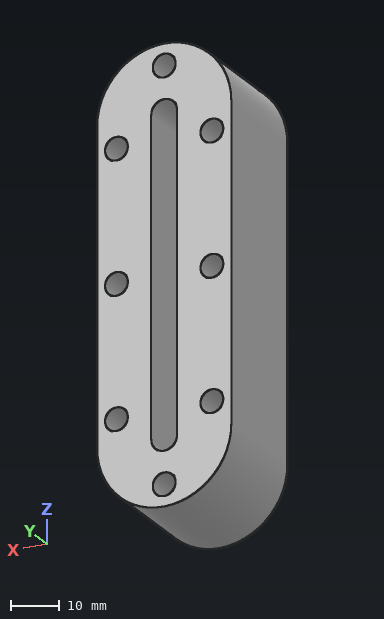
import cadquery as cq

width = 31.0
depth = 25.6
height = 103.0

slot_width = 6.0
slot_length = 78.2

hole_diameter = 5.3
side_hole_x = 11.0
side_hole_pitch = 30.1
end_hole_z = 46.6

side_holes = [
    (side * side_hole_x, row * side_hole_pitch)
    for side in (-1, 1)
    for row in (-1, 0, 1)
]
end_holes = [(0, -end_hole_z), (0, end_hole_z)]


def upright_slot(slot_height, slot_width):
    """Round-ended prism along Z, centred on the origin and spanning the depth in Y."""
    return (
        cq.Workplane("XZ")
        .slot2D(slot_height, slot_width, angle=90)
        .extrude(depth / 2, both=True)
    )


def hole_cutters():
    """Cylinders through the full depth at every hole position."""
    return (
        cq.Workplane("XZ")
        .pushPoints(side_holes + end_holes)
        .circle(hole_diameter / 2)
        .extrude(depth / 2, both=True)
    )


body = upright_slot(height, width)
slot = upright_slot(slot_length, slot_width)
result = body.cut(slot).cut(hole_cutters())